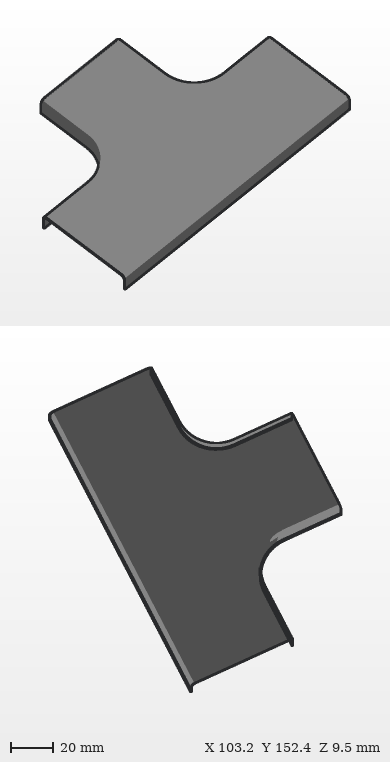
import cadquery as cq

length = 152.4
width = 103.2
height = 9.5
channel_width = 54.0
corner_radius = 19.2
edge_radius = 2.7
thickness = 0.8

overshoot = 7.6
match_tolerance = 0.02


def tee_solid(inset, end_extension, top):
    """Solid T with its walls moved inward by inset and its top edges along the walls rounded."""
    back = width - inset
    front = width - channel_width + inset
    branch_half = channel_width / 2 - inset
    mouth_x = -end_extension
    end_y = length / 2 + end_extension
    radius = corner_radius + inset
    rounding = edge_radius - inset

    tee = (
        cq.Workplane("XY")
        .moveTo(mouth_x, -branch_half)
        .lineTo(front - radius, -branch_half)
        .radiusArc((front, -branch_half - radius), radius)
        .lineTo(front, -end_y)
        .lineTo(back, -end_y)
        .lineTo(back, end_y)
        .lineTo(front, end_y)
        .lineTo(front, branch_half + radius)
        .radiusArc((front - radius, branch_half), radius)
        .lineTo(mouth_x, branch_half)
        .close()
        .extrude(top)
    )
    mouth_edges = tee.faces("<X or <Y or >Y").edges(">Z")
    mouth_centers = [edge.Center() for edge in mouth_edges.vals()]
    wall_edges = [
        edge
        for edge in tee.faces(">Z").edges().vals()
        if all((edge.Center() - center).Length > match_tolerance for center in mouth_centers)
    ]
    return tee.newObject(wall_edges).fillet(rounding)


outer = tee_solid(0, 0, height)
inner = tee_solid(thickness, overshoot, height - thickness)

result = outer.cut(inner)